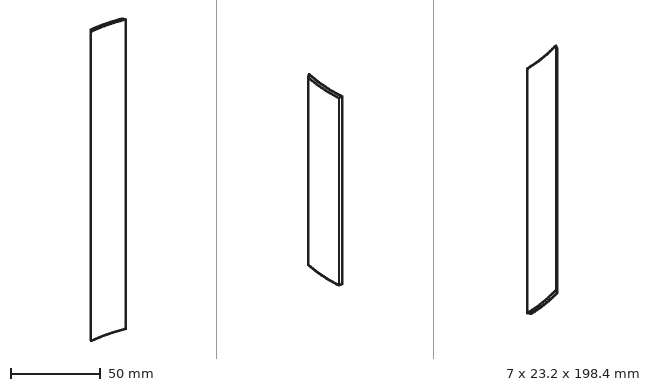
import cadquery as cq

length = 198.4
width_x = 7.0
width_y = 23.2
wall = 1.8
outer_radius = 81.3
inner_radius = outer_radius - wall

top_end_run = 1.8
top_end_drop = 1.4
bottom_end_run = 2.2
bottom_end_rise = 0.5

outer_top = (0, width_y - top_end_drop)
inner_top = (top_end_run, width_y)
inner_bottom = (width_x, 0)
outer_bottom = (width_x - bottom_end_run, bottom_end_rise)

profile = (
    cq.Workplane("XY")
    .moveTo(*outer_top)
    .radiusArc(outer_bottom, -outer_radius)
    .lineTo(*inner_bottom)
    .radiusArc(inner_top, inner_radius)
    .close()
)

result = profile.extrude(length)